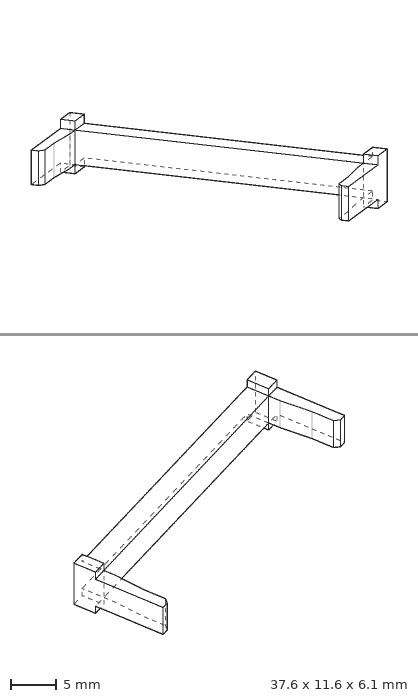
import cadquery as cq

length = 37.6
depth = 11.6
height = 6.1

bar_depth = 2.82
bar_height = 4.0
block_width = 1.73

arm_tip_width = 1.4
straight_root = 1.45
taper_length = 3.95
tip_chamfer_width = 0.53
tip_chamfer_length = 0.55

back = depth / 2
bar_front = back - bar_depth
arm_front = -depth / 2
outer = -length / 2


def centered_box(width, box_depth, box_height, x, y):
    """Box centred on (x, y) and on the mid-height plane."""
    return cq.Workplane("XY").box(width, box_depth, box_height).translate((x, y, 0))


def left_arm():
    """Arm reaching forward from the left end, with a narrowed, chamfered tip."""
    root_end = bar_front - straight_root
    taper_end = root_end - taper_length
    outline = [
        (outer, bar_front),
        (outer, arm_front),
        (outer + arm_tip_width - tip_chamfer_width, arm_front),
        (outer + arm_tip_width, arm_front + tip_chamfer_length),
        (outer + arm_tip_width, taper_end),
        (outer + block_width, root_end),
        (outer + block_width, bar_front),
    ]
    return cq.Workplane("XY").polyline(outline).close().extrude(bar_height / 2, both=True)


def left_end():
    """End block joined to its arm."""
    block = centered_box(
        block_width, bar_depth, height, outer + block_width / 2, back - bar_depth / 2
    )
    return block.union(left_arm())


crossbar = centered_box(length, bar_depth, bar_height, 0, back - bar_depth / 2)
end = left_end()
result = crossbar.union(end).union(end.mirror("YZ"))